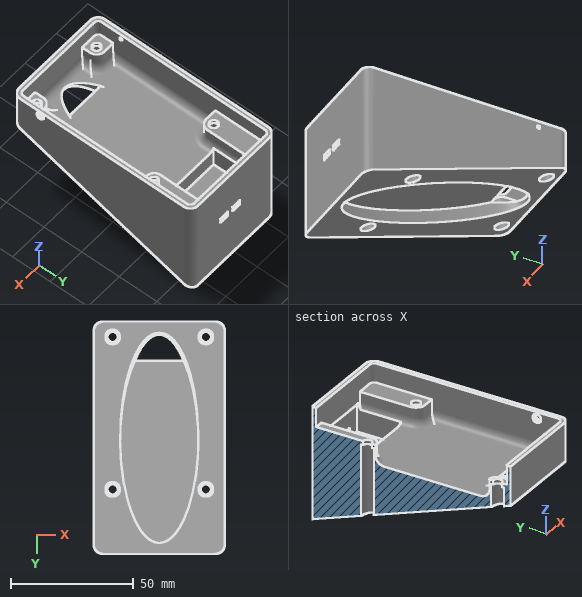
import cadquery as cq
import math

WIDTH = 53.72
LENGTH = 95.05
BACK_HEIGHT = 53.14
SLOPE_ANGLE = 20.0
CORNER_RADIUS = 4.0
FRONT_HEIGHT = BACK_HEIGHT - LENGTH * math.tan(math.radians(SLOPE_ANGLE))

WALL = 2.0
INNER_WIDTH = WIDTH - 2 * WALL
INNER_LENGTH = LENGTH - 2 * WALL
INNER_BACK_Y = INNER_LENGTH / 2
INNER_CORNER_RADIUS = CORNER_RADIUS - WALL
CAVITY_DEPTH = 18.0
FLOOR_FILLET = 4.0

BOSS_DEPTH = 9.0
BOSS_RADIUS = 4.0
SCREW_X = 19.05
FRONT_SCREW_Y = -41.2
BACK_SCREW_Y = 21.1
SCREW_DIAMETER = 4.2
SCREW_HEAD_DIAMETER = 6.0
SCREW_SEAT_THICKNESS = 2.0

POCKET_WIDTH = 28.0
POCKET_LENGTH = 20.3
POCKET_DEPTH = 27.5
POCKET_UNDERCUT = 0.8

SLOT_WIDTH = 4.8
SLOT_HEIGHT = 2.4
SLOT_DEPTH = 24.5
SLOT_CENTERS_X = (-1.8, 6.0)

RECESS_WIDTH = 32.0
RECESS_RISE = 31.25
RECESS_CENTER_DEPTH = 35.85
RECESS_DEPTH = 6.0

SIDE_HOLE_Y = -33.2
SIDE_HOLE_DEPTH = 3.0
PINHOLE_DIAMETER = 1.4
STEPPED_HOLE_DIAMETER = 3.3
STEPPED_HOLE_SEAT_DIAMETER = 4.0
STEPPED_HOLE_SEAT_DEPTH = 1.5


def box_between(x_range, y_range, z_range):
    """Axis-aligned box spanning the three given ranges."""
    size = [high - low for low, high in (x_range, y_range, z_range)]
    corner = (x_range[0], y_range[0], z_range[0])
    return cq.Workplane("XY").box(*size, centered=False).translate(corner)


def make_body():
    """Rounded box trimmed to a wedge side profile."""
    block = (
        cq.Workplane("XY")
        .rect(WIDTH, LENGTH)
        .extrude(-BACK_HEIGHT)
        .edges("|Z")
        .fillet(CORNER_RADIUS)
    )
    wedge = (
        cq.Workplane("YZ")
        .polyline(
            [
                (-LENGTH / 2, 0),
                (LENGTH / 2, 0),
                (LENGTH / 2, -BACK_HEIGHT),
                (-LENGTH / 2, -FRONT_HEIGHT),
            ]
        )
        .close()
        .extrude(WIDTH / 2, both=True)
    )
    return block.intersect(wedge)


def make_boss(side, free_y, wall_y):
    """Corner boss from a side wall and an end wall, rounded at its free corner."""
    x_range = sorted((side * (SCREW_X - BOSS_RADIUS), side * WIDTH / 2))
    y_range = sorted((free_y, wall_y))
    boss = box_between(x_range, y_range, (-CAVITY_DEPTH, -BOSS_DEPTH))
    free_x_selector = "<X" if side > 0 else ">X"
    free_y_selector = "<Y" if free_y < wall_y else ">Y"
    free_corner = boss.faces(free_x_selector).edges("|Z").edges(free_y_selector)
    return boss.newObject(free_corner.vals()).fillet(BOSS_RADIUS)


def make_fillet_end(side):
    """Diagonal end of the straight fillet beside a front boss, running past the rounded corner."""
    boss_side_x = SCREW_X - BOSS_RADIUS
    toe_x = boss_side_x - FLOOR_FILLET
    end_y = FRONT_SCREW_Y + FLOOR_FILLET
    fillet_top = FLOOR_FILLET - CAVITY_DEPTH
    arc_middle = FLOOR_FILLET * math.sqrt(0.5)
    strip = (
        cq.Workplane("XZ", origin=(0, end_y, 0))
        .moveTo(side * boss_side_x, fillet_top)
        .lineTo(side * boss_side_x, -CAVITY_DEPTH)
        .lineTo(side * toe_x, -CAVITY_DEPTH)
        .threePointArc(
            (side * (toe_x + arc_middle), fillet_top - arc_middle),
            (side * boss_side_x, fillet_top),
        )
        .close()
        .extrude(FLOOR_FILLET)
    )
    diagonal_end = (
        cq.Workplane("XY")
        .polyline(
            [
                (side * boss_side_x, FRONT_SCREW_Y),
                (side * toe_x, FRONT_SCREW_Y),
                (side * toe_x, end_y),
            ]
        )
        .close()
        .extrude(-CAVITY_DEPTH)
    )
    return strip.intersect(diagonal_end)


def make_cavity():
    """Cavity volume: full outline above the bosses, stepped around them below."""
    upper = (
        cq.Workplane("XY")
        .rect(INNER_WIDTH, INNER_LENGTH)
        .extrude(-BOSS_DEPTH)
        .edges("|Z")
        .fillet(INNER_CORNER_RADIUS)
    )
    lower = (
        cq.Workplane("XY")
        .workplane(offset=-BOSS_DEPTH)
        .rect(INNER_WIDTH, INNER_LENGTH)
        .extrude(BOSS_DEPTH - CAVITY_DEPTH)
    )
    for side in (-1, 1):
        lower = lower.cut(make_boss(side, BACK_SCREW_Y - BOSS_RADIUS, LENGTH / 2))
        lower = lower.cut(make_boss(side, FRONT_SCREW_Y + BOSS_RADIUS, -LENGTH / 2))
    lower = lower.faces("<Z").edges().fillet(FLOOR_FILLET)
    for side in (-1, 1):
        lower = lower.cut(make_fillet_end(side))
    return upper.union(lower)


def make_deep_pocket():
    """Rectangular pocket below the top of the floor fillet, undercutting the back wall."""
    return box_between(
        (-POCKET_WIDTH / 2, POCKET_WIDTH / 2),
        (INNER_BACK_Y - POCKET_LENGTH, INNER_BACK_Y + POCKET_UNDERCUT),
        (-POCKET_DEPTH, FLOOR_FILLET - CAVITY_DEPTH),
    )


def make_slots():
    """Rectangular openings through the back wall."""
    return (
        cq.Workplane("XZ", origin=(0, LENGTH / 2, -SLOT_DEPTH))
        .pushPoints([(x, 0) for x in SLOT_CENTERS_X])
        .rect(SLOT_WIDTH, SLOT_HEIGHT)
        .extrude(WALL)
    )


def make_screw_holes():
    """Vertical screw holes, widened for the screw heads from below."""
    centers = [(side * SCREW_X, y) for side in (-1, 1) for y in (FRONT_SCREW_Y, BACK_SCREW_Y)]
    seat_depth = BOSS_DEPTH + SCREW_SEAT_THICKNESS
    shanks = (
        cq.Workplane("XY", origin=(0, 0, -BOSS_DEPTH))
        .pushPoints(centers)
        .circle(SCREW_DIAMETER / 2)
        .extrude(-SCREW_SEAT_THICKNESS)
    )
    heads = (
        cq.Workplane("XY", origin=(0, 0, -seat_depth))
        .pushPoints(centers)
        .circle(SCREW_HEAD_DIAMETER / 2)
        .extrude(seat_depth - BACK_HEIGHT)
    )
    return shanks.union(heads)


def make_underside_recess():
    """Elliptical recess sunk square to the sloping underside."""
    slope = math.radians(SLOPE_ANGLE)
    center_y = (RECESS_CENTER_DEPTH - FRONT_HEIGHT) / math.tan(slope) - LENGTH / 2
    underside = cq.Plane(
        origin=(0, center_y, -RECESS_CENTER_DEPTH),
        xDir=(1, 0, 0),
        normal=(0, math.sin(slope), math.cos(slope)),
    )
    recess_length = RECESS_RISE / math.sin(slope)
    return cq.Workplane(underside).ellipse(RECESS_WIDTH / 2, recess_length / 2).extrude(RECESS_DEPTH)


def make_side_holes():
    """Pinhole through the -X wall and a hole with an inner seat through the +X wall."""
    axis_plane = cq.Workplane("YZ", origin=(0, SIDE_HOLE_Y, -SIDE_HOLE_DEPTH))
    pinhole = axis_plane.circle(PINHOLE_DIAMETER / 2).extrude(-WIDTH / 2)
    stepped_hole = axis_plane.circle(STEPPED_HOLE_DIAMETER / 2).extrude(WIDTH / 2)
    seat_reach = INNER_WIDTH / 2 + STEPPED_HOLE_SEAT_DEPTH
    seat = axis_plane.circle(STEPPED_HOLE_SEAT_DIAMETER / 2).extrude(seat_reach)
    return pinhole.union(stepped_hole).union(seat)


result = (
    make_body()
    .cut(make_cavity())
    .cut(make_deep_pocket())
    .cut(make_slots())
    .cut(make_screw_holes())
    .cut(make_underside_recess())
    .cut(make_side_holes())
)